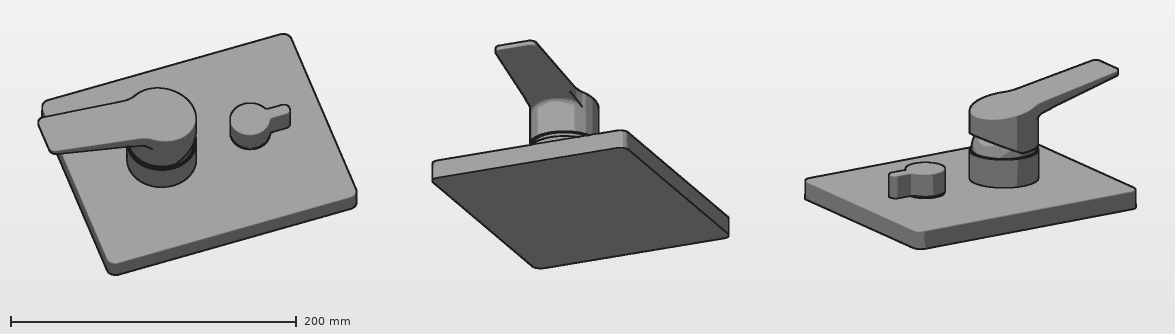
import cadquery as cq
import math

PLATE_WIDTH = 149.97
PLATE_LENGTH = 185.0
PLATE_THICKNESS = 13.7
PLATE_DRAFT_DEGREES = 0.6
PLATE_CORNER_RADIUS = 6.5
PLATE_RIM_FILLET = 1.2

MIXER_Y = -27.9
SLEEVE_RADIUS = 24.35
SLEEVE_TOP = 34.6
SLEEVE_CHAMFER = 0.4
DOME_RADIUS = 22.9

CAP_RADIUS = 24.15
CAP_BOTTOM = 37.6
CAP_BACK_BOTTOM = 48.3
CAP_BOTTOM_CHAMFER = 0.5

OVERALL_LENGTH = 207.82
OVERALL_HEIGHT = 82.45
LEVER_SLOPE = math.radians(10)
LEVER_TIP_Y = PLATE_LENGTH / 2 - OVERALL_LENGTH
LEVER_TIP_THICKNESS = 4.0
LEVER_TIP_HALF_WIDTH = 15.5
LEVER_SIDE_TAPER = math.radians(1.8)
LEVER_TIP_CORNER_RADIUS = 4.5
LEVER_NECK_RADIUS = 20.0
LEVER_TOP_FILLET = 1.0
UNDERSIDE_SLOPE = math.radians(13.8)
UNDERSIDE_ROOT_FILLET = 4.0
LEVER_UNDERSIDE_FILLET = 0.8

TIP_ROUNDING_LOSS = LEVER_TOP_FILLET * (math.tan(LEVER_SLOPE) + 1 / math.cos(LEVER_SLOPE) - 1)
LEVER_TIP_TOP = OVERALL_HEIGHT + TIP_ROUNDING_LOSS

KNOB_Y = 37.7
KNOB_RADIUS = 14.1
KNOB_BOTTOM = 15.0
KNOB_TOP = 31.9
KNOB_FILLET = 1.0
KNOB_STEM_RADIUS = 13.4
TAB_WIDTH = 9.0
TAB_TIP_Y = 67.0
TAB_NECK_RADIUS = 3.0
TAB_CORNER_RADIUS = 4.0


def cylinder(center_y, radius, bottom, top):
    return cq.Workplane("XY", origin=(0, center_y, bottom)).circle(radius).extrude(top - bottom)


def side_profile_solid(profile, half_width):
    """Extrude a closed YZ profile symmetrically about X = 0."""
    return profile.close().extrude(half_width, both=True)


def lever_top_height(y):
    """Height of the sloping lever top at a given Y."""
    return LEVER_TIP_TOP - (y - LEVER_TIP_Y) * math.tan(LEVER_SLOPE)


def underside_height(y):
    """Height of the sloping blade underside at a given Y."""
    tip_bottom = LEVER_TIP_TOP - LEVER_TIP_THICKNESS
    return tip_bottom - (y - LEVER_TIP_Y) * math.tan(UNDERSIDE_SLOPE)


def make_plate():
    outline = cq.Sketch().rect(PLATE_WIDTH, PLATE_LENGTH).vertices().fillet(PLATE_CORNER_RADIUS)
    plate = cq.Workplane("XY").placeSketch(outline).extrude(PLATE_THICKNESS, taper=PLATE_DRAFT_DEGREES)
    return plate.faces(">Z").edges().fillet(PLATE_RIM_FILLET)


def make_sleeve():
    sleeve = cylinder(MIXER_Y, SLEEVE_RADIUS, PLATE_THICKNESS, SLEEVE_TOP)
    return sleeve.faces(">Z").edges().chamfer(SLEEVE_CHAMFER)


def make_dome():
    """Half ball on the sleeve that the lever cap tilts over."""
    ball = cq.Workplane("XY", origin=(0, MIXER_Y, SLEEVE_TOP)).sphere(DOME_RADIUS)
    return ball.intersect(cylinder(MIXER_Y, SLEEVE_RADIUS, SLEEVE_TOP, SLEEVE_TOP + DOME_RADIUS))


def make_arm():
    """Upright prism with the plan shape of the tapered arm, tip corners rounded."""
    root_half_width = LEVER_TIP_HALF_WIDTH + (MIXER_Y - LEVER_TIP_Y) * math.tan(LEVER_SIDE_TAPER)
    arm = (
        cq.Workplane("XY", origin=(0, 0, CAP_BOTTOM))
        .moveTo(-root_half_width, MIXER_Y)
        .lineTo(-LEVER_TIP_HALF_WIDTH, LEVER_TIP_Y)
        .lineTo(LEVER_TIP_HALF_WIDTH, LEVER_TIP_Y)
        .lineTo(root_half_width, MIXER_Y)
        .close()
        .extrude(LEVER_TIP_TOP - CAP_BOTTOM)
    )
    return arm.faces("<Y").edges("|Z").fillet(LEVER_TIP_CORNER_RADIUS)


def make_lever_outline():
    """Upright prism with the plan shape of the lever: round cap blending into the arm."""
    outline = make_arm().union(cylinder(MIXER_Y, CAP_RADIUS, CAP_BOTTOM, LEVER_TIP_TOP))
    neck_region = cq.selectors.BoxSelector(
        (-CAP_RADIUS, MIXER_Y - CAP_RADIUS, 0),
        (CAP_RADIUS, MIXER_Y - CAP_RADIUS / 2, OVERALL_HEIGHT),
    )
    return outline.edges("|Z").edges(neck_region).fillet(LEVER_NECK_RADIUS)


def make_lever_envelope():
    """Side shape of the lever: sloping top, flat bottom, underside rising behind the axis."""
    back_y = MIXER_Y + CAP_RADIUS
    profile = (
        cq.Workplane("YZ")
        .moveTo(LEVER_TIP_Y, CAP_BOTTOM)
        .lineTo(MIXER_Y, CAP_BOTTOM)
        .lineTo(back_y, CAP_BACK_BOTTOM)
        .lineTo(back_y, lever_top_height(back_y))
        .lineTo(LEVER_TIP_Y, LEVER_TIP_TOP)
    )
    return side_profile_solid(profile, CAP_RADIUS)


def make_space_under_blade():
    """Space below the sloping underside of the blade, in front of the mixer axis."""
    clear_y = LEVER_TIP_Y - LEVER_TIP_THICKNESS
    profile = (
        cq.Workplane("YZ")
        .moveTo(clear_y, 0)
        .lineTo(MIXER_Y, 0)
        .lineTo(MIXER_Y, underside_height(MIXER_Y))
        .lineTo(clear_y, underside_height(clear_y))
    )
    return side_profile_solid(profile, 2 * CAP_RADIUS)


def make_space_around_cap():
    """Space under the blade and clear of the cap; its rounded rim shapes the root fillet."""
    space = make_space_under_blade().cut(cylinder(MIXER_Y, CAP_RADIUS, 0, OVERALL_HEIGHT))
    cap_rim = cq.selectors.BoxSelector(
        (-CAP_RADIUS, MIXER_Y - CAP_RADIUS, CAP_BOTTOM),
        (CAP_RADIUS, MIXER_Y - CAP_RADIUS / 2, OVERALL_HEIGHT),
    )
    return space.edges(cap_rim).fillet(UNDERSIDE_ROOT_FILLET)


def make_lower_edge_trim():
    """Slivers along the lower edges of the blade, from the root fillet out to the tip."""
    sharp_arm = make_arm().cut(make_space_under_blade())
    underside_normal = cq.Vector(0, -math.sin(UNDERSIDE_SLOPE), -math.cos(UNDERSIDE_SLOPE))
    underside = sharp_arm.faces(cq.selectors.DirectionMinMaxSelector(underside_normal))
    rounded_arm = underside.edges("not >Y").fillet(LEVER_UNDERSIDE_FILLET)
    root_front_y = MIXER_Y - CAP_RADIUS - UNDERSIDE_ROOT_FILLET
    blade_length = root_front_y - LEVER_TIP_Y
    blade_region = cq.Workplane("XY", origin=(0, root_front_y - blade_length / 2, OVERALL_HEIGHT / 2))
    blade_region = blade_region.box(2 * CAP_RADIUS, blade_length, 2 * OVERALL_HEIGHT)
    return sharp_arm.cut(rounded_arm).intersect(blade_region)


def make_lever():
    lever = make_lever_outline().intersect(make_lever_envelope())
    slope_direction = cq.Vector(0, math.sin(LEVER_SLOPE), math.cos(LEVER_SLOPE))
    top_face = lever.faces(cq.selectors.DirectionMinMaxSelector(slope_direction))
    lever = top_face.edges().fillet(LEVER_TOP_FILLET)
    lever = lever.cut(make_space_around_cap()).cut(make_lower_edge_trim())
    return lever.faces("<Z").edges("%CIRCLE").chamfer(CAP_BOTTOM_CHAMFER)


def make_knob():
    """Round diverter knob with a finger tab held clear of the plate."""
    tab_length = TAB_TIP_Y - KNOB_Y
    tab = (
        cq.Workplane("XY", origin=(0, KNOB_Y + tab_length / 2, KNOB_BOTTOM))
        .rect(TAB_WIDTH, tab_length)
        .extrude(KNOB_TOP - KNOB_BOTTOM)
    )
    tab = tab.faces(">Y").edges("|Z").fillet(TAB_CORNER_RADIUS)
    knob = tab.union(cylinder(KNOB_Y, KNOB_RADIUS, KNOB_BOTTOM, KNOB_TOP))
    neck_region = cq.selectors.BoxSelector(
        (-TAB_WIDTH, KNOB_Y + KNOB_RADIUS / 2, 0),
        (TAB_WIDTH, KNOB_Y + KNOB_RADIUS, KNOB_TOP),
    )
    knob = knob.edges("|Z").edges(neck_region).fillet(TAB_NECK_RADIUS)
    knob = knob.faces(">Z").edges().fillet(KNOB_FILLET)
    return knob.union(cylinder(KNOB_Y, KNOB_STEM_RADIUS, PLATE_THICKNESS, KNOB_BOTTOM))


result = make_plate()
for component in (make_sleeve(), make_dome(), make_lever(), make_knob()):
    result = result.union(component)